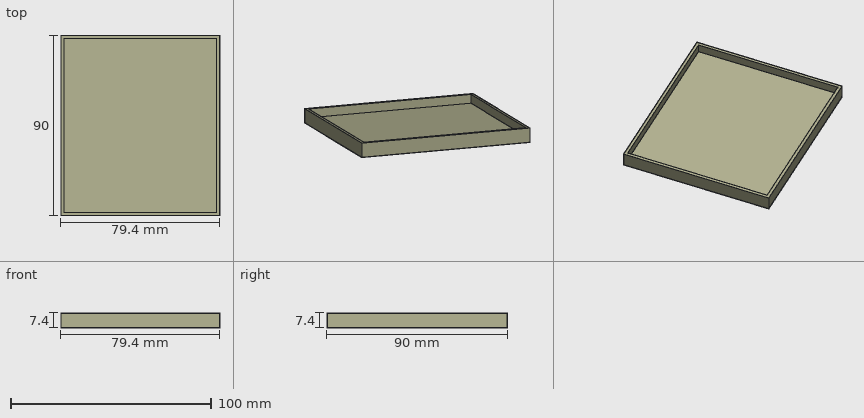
import cadquery as cq

length_x = 79.4
length_y = 90.05
height = 7.4

wall = 1.6
recess_depth = 4.5
floor_thickness = height - recess_depth

block = cq.Workplane("XY").box(length_x, length_y, height, centered=(True, True, False))

recess = (
    cq.Workplane("XY")
    .workplane(offset=floor_thickness)
    .rect(length_x - 2 * wall, length_y - 2 * wall)
    .extrude(recess_depth)
)

result = block.cut(recess)